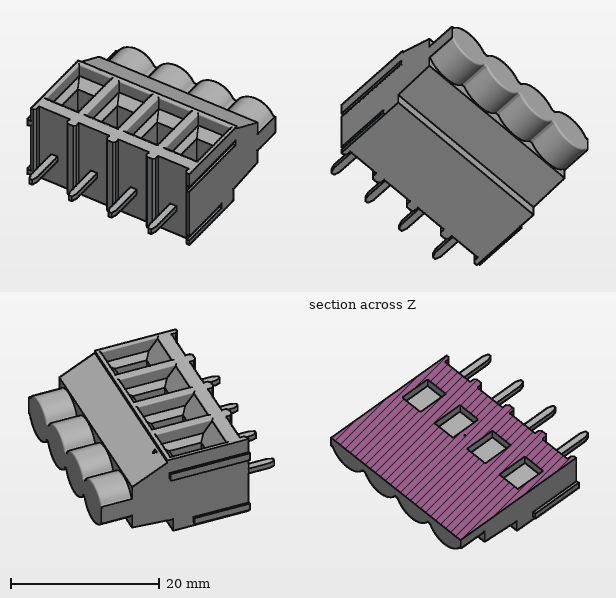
import cadquery as cq


pole_count = 4
body_width = 25.41
pitch = body_width / pole_count
body_height = 12.5
body_depth = 17.05
overlap = 0.26

roof_front_y = 11.87
roof_step = 0.37
roof_back_z = 9.5
heel_y = 11.02
heel_z = 2.0
belly_back_z = 2.45

recess_width = 4.88
recess_depth = 0.95
ridge_chamfer = 0.32

barrel_end_y = 21.52
barrel_radius = 3.25
barrel_z = 6.0
barrel_rounding = 0.26
web_height = 2.92
web_fillet = 0.2

entry_width = 5.5
entry_front_y = 2.73
entry_back_y = 11.37
rim_rounding = 0.2
well_width = entry_width - 2 * rim_rounding
well_front_y = entry_front_y + rim_rounding
well_back_y = entry_back_y - rim_rounding
mouth_depth = 0.26
throat_width = 3.52
throat_front_y = 4.88
throat_back_y = 9.55
funnel_top_depth = 1.93
funnel_bottom_depth = 2.8

pin_width = 1.0
pin_thickness = 0.85
pin_z = 4.55
pin_length = 4.98
pin_tip_length = 0.8
pin_tip_width = 0.5
throat_floor_z = pin_z + pin_thickness / 2

rail_projection = 0.53
rail_undercut = 0.19
rails = [(9.83, 1.17, 11.58), (1.15, 1.05, 8.14)]

mark_width = 0.58
mark_front_y = 12.25
mark_back_y = 12.7
mark_depth = 0.08

selection_reach = 0.03
pole_centers = [pitch * (i + 0.5) for i in range(pole_count)]


def roof_z(y):
    """Height of the sloped roof at depth y."""
    start_z = body_height - roof_step
    return start_z + (roof_back_z - start_z) * (y - roof_front_y) / (body_depth - roof_front_y)


def housing():
    side_outline = [
        (0, 0),
        (heel_y, 0),
        (heel_y, heel_z),
        (body_depth, belly_back_z),
        (body_depth, roof_back_z),
        (roof_front_y, roof_z(roof_front_y)),
        (roof_front_y, body_height),
        (0, body_height),
    ]
    return cq.Workplane("YZ").polyline(side_outline).close().extrude(body_width)


def front_recess(x):
    half = recess_width / 2
    outline = [
        (x - half - ridge_chamfer, 0),
        (x - half, ridge_chamfer),
        (x - half, recess_depth),
        (x + half, recess_depth),
        (x + half, ridge_chamfer),
        (x + half + ridge_chamfer, 0),
    ]
    return cq.Workplane("XY").polyline(outline).close().extrude(body_height)


def inner_corners(z, start_y):
    """Selector for the corner lines along Y between barrels and web at height z."""
    middle_y = (start_y + barrel_end_y) / 2
    return cq.selectors.BoxSelector(
        (selection_reach, middle_y - selection_reach, z - selection_reach),
        (body_width - selection_reach, middle_y + selection_reach, z + selection_reach),
    )


def screw_barrels():
    start_y = body_depth - overlap
    length = barrel_end_y - start_y
    web = cq.Workplane("XY").box(body_width, length, web_height, centered=(False, False, True))
    web = web.translate((0, start_y, barrel_z))
    pole_slabs = cq.Workplane("XY").box(body_width, length, 2 * barrel_radius, centered=(False, False, True))
    pole_slabs = pole_slabs.translate((0, start_y, barrel_z))
    block = web
    for x in pole_centers:
        barrel = cq.Workplane("XZ", origin=(x, barrel_end_y, barrel_z)).circle(barrel_radius).extrude(length)
        block = block.union(barrel.intersect(pole_slabs))

    web_top = barrel_z + web_height / 2
    web_bottom = barrel_z - web_height / 2
    block = block.edges(inner_corners(web_top, start_y)).fillet(web_fillet)
    block = block.edges(inner_corners(web_bottom, start_y)).fillet(web_fillet)
    return block.faces(">Y").edges("%CIRCLE").fillet(barrel_rounding)


def rectangle_at(x, width, front_y, back_y, z):
    """Horizontal rectangular section of a wire entry."""
    return cq.Workplane("XY", origin=(x, (front_y + back_y) / 2, z)).rect(width, back_y - front_y)


def entry_mouth(x):
    """Straight-walled opening that receives the rounded rim."""
    mouth_z = body_height - mouth_depth
    return rectangle_at(x, well_width, well_front_y, well_back_y, mouth_z).extrude(mouth_depth)


def mouth_edges():
    """Selector for the upper edges of all the entry mouths."""
    return cq.selectors.BoxSelector(
        (selection_reach, well_front_y - selection_reach, body_height - selection_reach),
        (body_width - selection_reach, well_back_y + selection_reach, body_height + selection_reach),
    )


def wire_entry(x):
    funnel_top_z = body_height - funnel_top_depth
    funnel_bottom_z = body_height - funnel_bottom_depth
    ramp_top_z = body_height - mouth_depth
    well = rectangle_at(x, well_width, well_front_y, well_back_y, funnel_top_z).extrude(ramp_top_z - funnel_top_z)

    side_taper = (
        cq.Workplane("XZ", origin=(x, well_front_y, 0))
        .polyline([
            (-well_width / 2, funnel_top_z),
            (well_width / 2, funnel_top_z),
            (throat_width / 2, funnel_bottom_z),
            (-throat_width / 2, funnel_bottom_z),
        ])
        .close()
        .extrude(well_front_y - well_back_y)
    )
    back_taper = (
        cq.Workplane("YZ", origin=(x - well_width / 2, 0, 0))
        .polyline([
            (well_front_y, funnel_top_z),
            (well_back_y, funnel_top_z),
            (throat_back_y, funnel_bottom_z),
            (well_front_y, funnel_bottom_z),
        ])
        .close()
        .extrude(well_width)
    )

    front_ramp = (
        cq.Workplane("YZ", origin=(x - well_width / 2, 0, 0))
        .polyline([
            (well_front_y, ramp_top_z),
            (throat_front_y, funnel_bottom_z),
            (well_front_y, funnel_bottom_z),
        ])
        .close()
        .extrude(well_width)
    )
    funnel = well.union(side_taper.intersect(back_taper)).cut(front_ramp)

    throat_depth = funnel_bottom_z - throat_floor_z
    throat = rectangle_at(x, throat_width, throat_front_y, throat_back_y, throat_floor_z).extrude(throat_depth)
    return funnel.union(throat)


def solder_pin(x):
    half = pin_width / 2
    half_tip = pin_tip_width / 2
    root_y = recess_depth + overlap
    shoulder_y = pin_tip_length - pin_length
    outline = [
        (x - half, root_y),
        (x - half, shoulder_y),
        (x - half_tip, -pin_length),
        (x + half_tip, -pin_length),
        (x + half, shoulder_y),
        (x + half, root_y),
    ]
    bottom_z = pin_z - pin_thickness / 2
    return cq.Workplane("XY", origin=(0, 0, bottom_z)).polyline(outline).close().extrude(pin_thickness)


def dovetail(side_x, center_z, outer_height, length):
    """Dovetail bar whose narrow neck ends at side_x and whose wide face lies further to -X."""
    outer_half = outer_height / 2
    neck_half = outer_half - rail_undercut
    outer_x = side_x - rail_projection
    outline = [
        (outer_x, center_z - outer_half),
        (side_x, center_z - neck_half),
        (side_x, center_z + neck_half),
        (outer_x, center_z + outer_half),
    ]
    return cq.Workplane("XZ").polyline(outline).close().extrude(-length)


def pole_mark(x):
    corners = [
        (x - mark_width / 2, mark_front_y),
        (x + mark_width / 2, mark_front_y),
        (x, mark_back_y),
    ]
    floor_z = roof_z(mark_back_y) - mark_depth
    return cq.Workplane("XY", origin=(0, 0, floor_z)).polyline(corners).close().extrude(roof_step + mark_depth)


result = housing()
for pole_x in pole_centers:
    result = result.cut(entry_mouth(pole_x))
result = result.faces(">Z").edges(mouth_edges()).fillet(rim_rounding)
result = result.union(screw_barrels())
for pole_x in pole_centers:
    result = result.cut(front_recess(pole_x)).cut(wire_entry(pole_x)).union(solder_pin(pole_x))
for rail_z, rail_height, rail_length in rails:
    result = result.union(dovetail(0, rail_z, rail_height, rail_length))
    result = result.cut(dovetail(body_width, rail_z, rail_height, rail_length))
result = result.cut(pole_mark(pole_centers[0]))